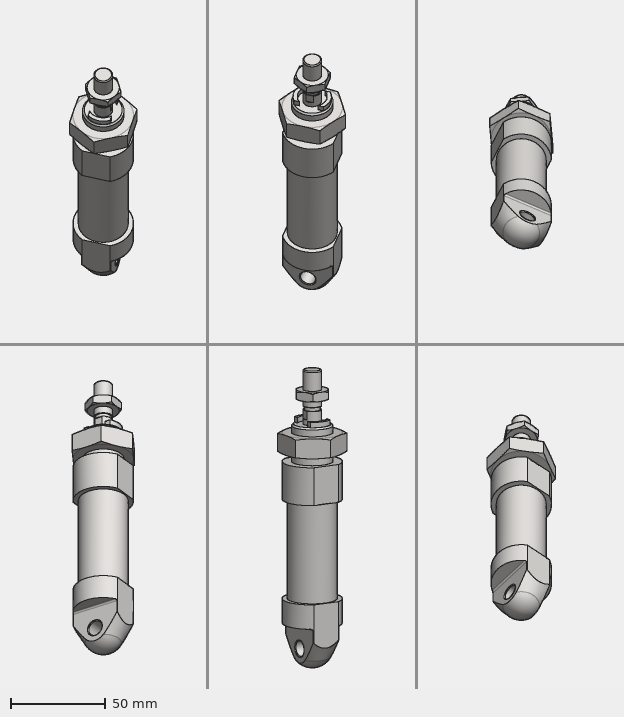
import cadquery as cq
import math

TOTAL_LENGTH = 162.0
REAR_HEAD_BOTTOM = 24.3
REAR_HEAD_TOP = 37.6
FRONT_HEAD_BOTTOM = 91.5
FRONT_HEAD_TOP = 112.1
NECK_TOP = 132.5

HEAD_DIAMETER = 32.0
HEAD_ACROSS_FLATS = 28.2
TUBE_DIAMETER = 26.5
NECK_DIAMETER = 22.0
NECK_CHAMFER = 1.0

LUG_OUTER_DIAMETER = 20.4
LUG_INNER_DIAMETER = 15.9
LUG_WIDTH = 12.2
LUG_HEIGHT = 2.9

EYE_THICKNESS = 16.0
EYE_TIP_RADIUS = 11.2
EYE_CONE_ANGLE = 60.0
EYE_ROOT_FILLET = 1.0
PIN_HOLE_DIAMETER = 8.5
PIN_HOLE_MOUTH_DIAMETER = 9.4
PIN_HOLE_HEIGHT = EYE_TIP_RADIUS

ROD_DIAMETER = 10.0
ROD_TIP_CHAMFER = 0.6
ROD_GROOVE_DIAMETER = 8.6
ROD_GROOVE_BOTTOM = 140.1
ROD_GROOVE_TOP = 142.2
ROD_ACROSS_FLATS = 9.0
ROD_FLAT_BOTTOM = NECK_TOP + LUG_HEIGHT

NUT_CORNER_DROP = 0.6
MOUNTING_NUT_ACROSS_FLATS = HEAD_DIAMETER
MOUNTING_NUT_BOTTOM = 117.0
MOUNTING_NUT_HEIGHT = 10.9
ROD_NUT_ACROSS_FLATS = 17.0
ROD_NUT_BOTTOM = 146.1
ROD_NUT_HEIGHT = 5.0


def cylinder(diameter, bottom, top):
    """Cylinder on the Z axis between two heights."""
    return cq.Workplane("XY").workplane(offset=bottom).circle(diameter / 2).extrude(top - bottom)


def slab(x_size, y_size, bottom, top):
    """Box centred on the Z axis between two heights."""
    return cq.Workplane("XY").workplane(offset=bottom).rect(x_size, y_size).extrude(top - bottom)


def head(bottom, top):
    """Round head with two flats facing -Y and +Y."""
    return cylinder(HEAD_DIAMETER, bottom, top).intersect(
        slab(HEAD_DIAMETER, HEAD_ACROSS_FLATS, bottom, top)
    )


def eye_envelope():
    """Revolved bullet shape: spherical tip, tangent cone, then the head cylinder."""
    angle = math.radians(EYE_CONE_ANGLE)
    head_radius = HEAD_DIAMETER / 2
    tangent_radius = EYE_TIP_RADIUS * math.sin(angle)
    tangent_height = EYE_TIP_RADIUS * (1 - math.cos(angle))
    cone_top = tangent_height + (head_radius - tangent_radius) * math.tan(angle)
    mid_radius = EYE_TIP_RADIUS * math.sin(angle / 2)
    mid_height = EYE_TIP_RADIUS * (1 - math.cos(angle / 2))
    return (
        cq.Workplane("XZ")
        .moveTo(0, 0)
        .threePointArc((mid_radius, mid_height), (tangent_radius, tangent_height))
        .lineTo(head_radius, cone_top)
        .lineTo(head_radius, REAR_HEAD_TOP)
        .lineTo(0, REAR_HEAD_TOP)
        .close()
        .revolve(360, (0, 0), (0, 1))
    )


def eye_section():
    """Eye tongue joined to the rear head by concave root fillets."""
    half = EYE_THICKNESS / 2
    fillet = EYE_ROOT_FILLET
    fillet_bottom = REAR_HEAD_BOTTOM - fillet
    head_radius = HEAD_DIAMETER / 2
    half_section = (
        cq.Workplane("XZ")
        .moveTo(0, 0)
        .lineTo(half, 0)
        .lineTo(half, fillet_bottom)
        .radiusArc((half + fillet, REAR_HEAD_BOTTOM), fillet)
        .lineTo(head_radius, REAR_HEAD_BOTTOM)
        .lineTo(head_radius, REAR_HEAD_TOP)
        .lineTo(0, REAR_HEAD_TOP)
        .close()
        .extrude(HEAD_ACROSS_FLATS / 2, both=True)
    )
    return half_section.union(half_section.mirror("YZ"))


def pin_hole():
    """Cross hole along X with a small 45 degree countersink at each mouth."""
    half = EYE_THICKNESS / 2
    bore_radius = PIN_HOLE_DIAMETER / 2
    mouth_radius = PIN_HOLE_MOUTH_DIAMETER / 2
    sink = mouth_radius - bore_radius
    return (
        cq.Workplane("XY")
        .polyline(
            [
                (-half, 0),
                (-half, mouth_radius),
                (sink - half, bore_radius),
                (half - sink, bore_radius),
                (half, mouth_radius),
                (half, 0),
            ]
        )
        .close()
        .revolve(360, (0, 0), (1, 0))
        .translate((0, 0, PIN_HOLE_HEIGHT))
    )


def stop_lugs():
    """Two curved lugs on the neck face, on the -Y and +Y sides of the rod."""
    top = NECK_TOP + LUG_HEIGHT
    ring = cylinder(LUG_OUTER_DIAMETER, NECK_TOP, top).cut(cylinder(LUG_INNER_DIAMETER, NECK_TOP, top))
    return ring.intersect(slab(LUG_WIDTH, LUG_OUTER_DIAMETER, NECK_TOP, top))


def make_cylinder_body():
    """Rear eye, tube, front head and neck, with a bore that receives the rod."""
    rear = eye_envelope().intersect(eye_section()).cut(pin_hole())
    tube = cylinder(TUBE_DIAMETER, REAR_HEAD_TOP, FRONT_HEAD_BOTTOM)
    front = head(FRONT_HEAD_BOTTOM, FRONT_HEAD_TOP)
    neck = cylinder(NECK_DIAMETER, FRONT_HEAD_TOP, NECK_TOP).faces(">Z").chamfer(NECK_CHAMFER)
    rod_bore = cylinder(ROD_DIAMETER, FRONT_HEAD_BOTTOM, NECK_TOP)
    return rear.union(tube).union(front).union(neck).union(stop_lugs()).cut(rod_bore)


def make_piston_rod():
    """Rod with two wrench flats, a square groove and a chamfered tip."""
    shank = cylinder(ROD_DIAMETER, FRONT_HEAD_BOTTOM, ROD_GROOVE_BOTTOM)
    flat_zone = slab(ROD_DIAMETER, ROD_DIAMETER, ROD_FLAT_BOTTOM, ROD_GROOVE_BOTTOM)
    between_flats = slab(ROD_ACROSS_FLATS, ROD_DIAMETER, ROD_FLAT_BOTTOM, ROD_GROOVE_BOTTOM)
    shank = shank.cut(flat_zone.cut(between_flats))
    groove = cylinder(ROD_GROOVE_DIAMETER, ROD_GROOVE_BOTTOM, ROD_GROOVE_TOP)
    tip = cylinder(ROD_DIAMETER, ROD_GROOVE_TOP, TOTAL_LENGTH)
    tip = tip.faces(">Z").chamfer(ROD_TIP_CHAMFER)
    return shank.union(groove).union(tip)


def make_nut(across_flats, bore_diameter, bottom, height, turn):
    """Hexagon nut with conically chamfered corners; at zero turn two corners lie on X."""
    corner_diameter = across_flats / math.cos(math.radians(30))
    corner_inset = (corner_diameter - across_flats) / 2
    hexagon = (
        cq.Workplane("XY")
        .workplane(offset=bottom)
        .polygon(6, corner_diameter)
        .extrude(height)
        .rotate((0, 0, 0), (0, 0, 1), turn)
    )
    envelope = cylinder(corner_diameter, bottom, bottom + height)
    envelope = envelope.faces(">Z").chamfer(NUT_CORNER_DROP, corner_inset)
    envelope = envelope.faces("<Z").chamfer(NUT_CORNER_DROP, corner_inset)
    return hexagon.intersect(envelope).cut(cylinder(bore_diameter, bottom, bottom + height))


cylinder_body = make_cylinder_body()
piston_rod = make_piston_rod()
mounting_nut = make_nut(
    MOUNTING_NUT_ACROSS_FLATS, NECK_DIAMETER, MOUNTING_NUT_BOTTOM, MOUNTING_NUT_HEIGHT, turn=30
)
rod_nut = make_nut(ROD_NUT_ACROSS_FLATS, ROD_DIAMETER, ROD_NUT_BOTTOM, ROD_NUT_HEIGHT, turn=0)

result = cq.Compound.makeCompound(
    [cylinder_body.val(), piston_rod.val(), mounting_nut.val(), rod_nut.val()]
)